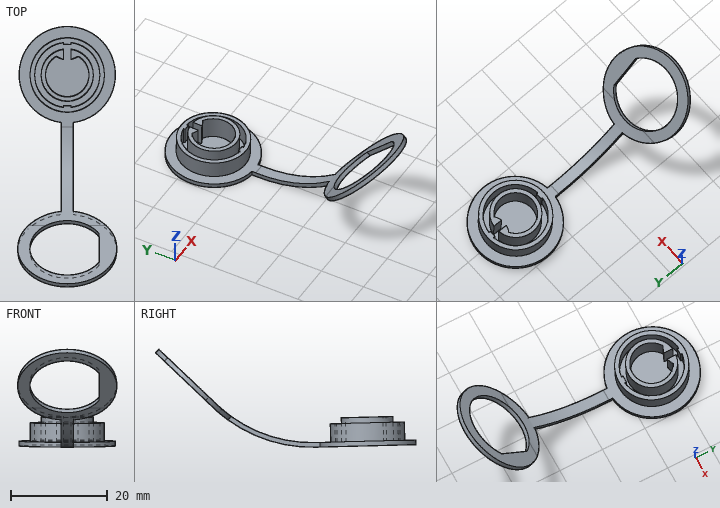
import cadquery as cq
import math

sheet_thickness = 1.0
flange_radius = 10.0
wall_outer_radius = 7.7
wall_inner_radius = 6.75
wall_height = 3.8
post_outer_radius = 5.4
post_inner_radius = 4.5
post_height = 5.0

key_width = 1.5
key_inner_reach = 6.35
pad_radius = 4.0
pad_inner_reach = 3.2

strap_width = 2.5
strap_bend_start = 10.82
strap_bend_radius = 29.1
strap_bend_angle = 45.0
ring_outer_radius = 10.28
ring_hole_radius = 7.75
ring_flat_offset = 6.6
ring_center_run = 6.35

cap_tilt = 1.45

bend = math.radians(strap_bend_angle)
inner_bend_radius = strap_bend_radius - sheet_thickness / 2
outer_bend_radius = strap_bend_radius + sheet_thickness / 2
bend_center_z = sheet_thickness + inner_bend_radius
ring_tip_run = ring_center_run + ring_outer_radius


def bend_point(radius, angle, run=0.0):
    """(Y, Z) at an angle around the bend, plus a straight run along the tangent there."""
    y = -strap_bend_start - radius * math.sin(angle) - run * math.cos(angle)
    z = bend_center_z - radius * math.cos(angle) + run * math.sin(angle)
    return y, z


def cylinder(radius, height, base_z=0.0):
    return cq.Workplane("XY").workplane(offset=base_z).circle(radius).extrude(height)


def tube(outer_radius, inner_radius, height):
    """Upright tube standing on the flange."""
    section = cq.Workplane("XY").workplane(offset=sheet_thickness)
    return section.circle(outer_radius).circle(inner_radius).extrude(height)


def radial_bar(start_y, end_y, height):
    """Bar of key width standing on the flange between two Y positions."""
    middle_y = (start_y + end_y) / 2
    section = cq.Workplane("XY").workplane(offset=sheet_thickness).center(0, middle_y)
    return section.rect(key_width, abs(end_y - start_y)).extrude(height)


def make_wall():
    """Outer wall with a key on its inner face at +Y and at -Y."""
    wall = tube(wall_outer_radius, wall_inner_radius, wall_height)
    key_root = (wall_inner_radius + wall_outer_radius) / 2
    for side in (1, -1):
        wall = wall.union(radial_bar(side * key_inner_reach, side * key_root, wall_height))
    return wall


def make_post():
    """Inner tube, thickened by a rounded pad at +Y and slotted through there."""
    pad = cylinder(pad_radius, post_height, sheet_thickness)
    pad = pad.translate((0, pad_inner_reach + pad_radius, 0))
    pad = pad.intersect(cylinder(post_outer_radius, post_height, sheet_thickness))
    post = tube(post_outer_radius, post_inner_radius, post_height).union(pad)
    return post.cut(radial_bar(0, wall_inner_radius, post_height))


def make_bent_sheet():
    """Sheet as wide as the ring: flat from the cap, curved upward, then straight to the ring tip."""
    profile = (
        cq.Workplane("YZ")
        .moveTo(0, 0)
        .lineTo(*bend_point(outer_bend_radius, 0))
        .threePointArc(bend_point(outer_bend_radius, bend / 2), bend_point(outer_bend_radius, bend))
        .lineTo(*bend_point(outer_bend_radius, bend, ring_tip_run))
        .lineTo(*bend_point(inner_bend_radius, bend, ring_tip_run))
        .lineTo(*bend_point(inner_bend_radius, bend))
        .threePointArc(bend_point(inner_bend_radius, bend / 2), bend_point(inner_bend_radius, 0))
        .lineTo(0, sheet_thickness)
        .close()
    )
    return profile.extrude(ring_outer_radius, both=True)


def make_strap_and_ring():
    """Bent sheet trimmed to the strap and ring outline, with the D-shaped hole cut out."""
    center_y, center_z = bend_point(strap_bend_radius, bend, ring_center_run)
    ring_plane = cq.Plane(
        origin=(0, center_y, center_z),
        xDir=(1, 0, 0),
        normal=(0, math.sin(bend), math.cos(bend)),
    )
    trim_depth = ring_outer_radius / 2
    ring_trim = cq.Workplane(ring_plane).circle(ring_outer_radius).extrude(trim_depth, both=True)

    strap_length = abs(center_y)
    strap_trim = cq.Workplane("XY").center(0, -strap_length / 2).rect(strap_width, strap_length)
    strap_trim = strap_trim.extrude(center_z + sheet_thickness)

    hole = cq.Workplane(ring_plane).circle(ring_hole_radius).extrude(trim_depth, both=True)
    hole_side = ring_flat_offset + ring_hole_radius
    hole_limit = cq.Workplane(ring_plane).center(ring_flat_offset - hole_side / 2, 0)
    hole_limit = hole_limit.rect(hole_side, 2 * ring_hole_radius).extrude(trim_depth, both=True)

    outline = ring_trim.union(strap_trim)
    return make_bent_sheet().intersect(outline).cut(hole.intersect(hole_limit))


flange = cylinder(flange_radius, sheet_thickness)
part = flange.union(make_strap_and_ring()).union(make_wall()).union(make_post())
result = part.rotate((0, 0, 0), (1, 0, 0), cap_tilt)